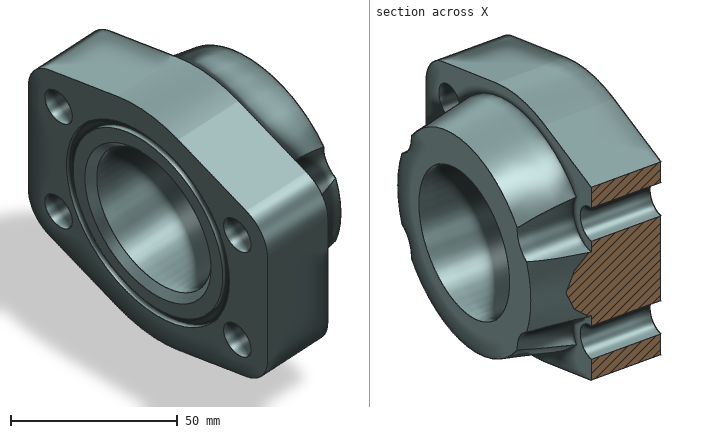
import cadquery as cq
import math

flange_width = 104.0
flange_height = 90.0
flange_depth = 25.0
corner_radius = 13.0
crown_radius = flange_height / 2

bolt_x = 38.9
bolt_z = 21.4
bolt_hole_diameter = 12.0

total_depth = 45.0
hub_base_radius = 40.8
hub_end_radius = 36.6
scallop_radius = 9.8

bore_radius = 25.0
bevel_size = 2.5

groove_outer_radius = 35.5
groove_inner_radius = 32.5
groove_depth = 2.0


def rear_plane(y):
    """Workplane at depth y with axes X and Z; positive extrusion goes to -Y."""
    return cq.Workplane("XZ", origin=(0, y, 0))


def bolt_cylinders(radius, start, end):
    """Cylinders on the four bolt axes between two depths."""
    points = [(sx * bolt_x, sz * bolt_z) for sx in (-1, 1) for sz in (-1, 1)]
    return rear_plane(end).pushPoints(points).circle(radius).extrude(end - start)


def make_flange():
    """Plate with rounded corners, joined to the crown arcs by tangent flanks."""
    half_width = flange_width / 2
    corner_x = half_width - corner_radius
    center_distance = math.hypot(corner_x, bolt_z)
    tilt = math.atan2(corner_x, bolt_z) - math.acos((crown_radius - corner_radius) / center_distance)
    crown_end_x = crown_radius * math.sin(tilt)
    crown_end_z = crown_radius * math.cos(tilt)
    flank_end_x = corner_x + corner_radius * math.sin(tilt)
    flank_end_z = bolt_z + corner_radius * math.cos(tilt)
    middle = (tilt + math.pi / 2) / 2
    middle_x = corner_x + corner_radius * math.sin(middle)
    middle_z = bolt_z + corner_radius * math.cos(middle)
    return (
        rear_plane(flange_depth)
        .moveTo(-crown_end_x, crown_end_z)
        .threePointArc((0, crown_radius), (crown_end_x, crown_end_z))
        .lineTo(flank_end_x, flank_end_z)
        .threePointArc((middle_x, middle_z), (half_width, bolt_z))
        .lineTo(half_width, -bolt_z)
        .threePointArc((middle_x, -middle_z), (flank_end_x, -flank_end_z))
        .lineTo(crown_end_x, -crown_end_z)
        .threePointArc((0, -crown_radius), (-crown_end_x, -crown_end_z))
        .lineTo(-flank_end_x, -flank_end_z)
        .threePointArc((-middle_x, -middle_z), (-half_width, -bolt_z))
        .lineTo(-half_width, bolt_z)
        .threePointArc((-middle_x, middle_z), (-flank_end_x, flank_end_z))
        .close()
        .extrude(flange_depth)
    )


def make_hub():
    """Tapered hub, with room for the bolt heads cut out of its side."""
    cone = (
        cq.Workplane("XY")
        .polyline([
            (0, flange_depth),
            (hub_base_radius, flange_depth),
            (hub_end_radius, total_depth),
            (0, total_depth),
        ])
        .close()
        .revolve(360, (0, 0, 0), (0, 1, 0))
    )
    return cone.cut(bolt_cylinders(scallop_radius, flange_depth, total_depth))


def make_bore():
    """Through bore including its bevelled front edge."""
    return (
        cq.Workplane("XY")
        .polyline([
            (0, 0),
            (bore_radius + bevel_size, 0),
            (bore_radius, bevel_size),
            (bore_radius, total_depth),
            (0, total_depth),
        ])
        .close()
        .revolve(360, (0, 0, 0), (0, 1, 0))
    )


def make_groove():
    """Ring removed from the front face for the seal."""
    return (
        rear_plane(groove_depth)
        .circle(groove_outer_radius)
        .circle(groove_inner_radius)
        .extrude(groove_depth)
    )


bolt_holes = bolt_cylinders(bolt_hole_diameter / 2, 0, flange_depth)
body = make_flange().union(make_hub())
result = body.cut(bolt_holes).cut(make_bore()).cut(make_groove())